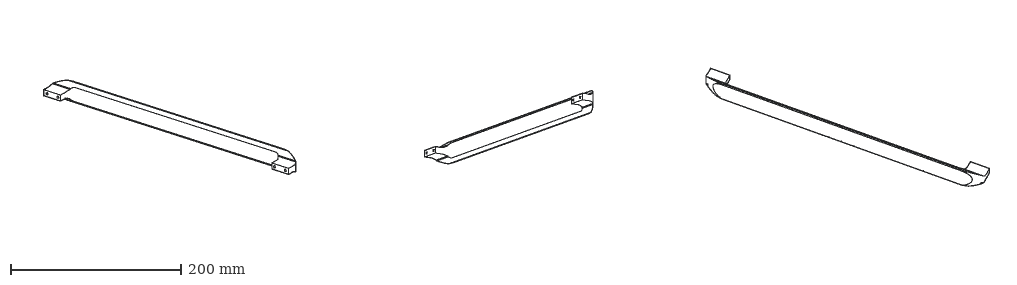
import cadquery as cq

LENGTH = 362.0
DEPTH = 24.3
HEIGHT = 26.0

FOOT_THICKNESS = 8.0
FLARE_START_Y = 9.5
FLARE_CREASES = [(12.5, 4.7), (15.5, 6.0), (16.0, 7.2), (22.5, HEIGHT / 2)]
BACK_HOLLOW_DEPTH = 3.3

FOOT_LENGTH = 25.0
GRIP_FRONT_Y = 18.0
INNER_RADIUS = 8.5
END_FACE_DEPTH = 15.0
SHOULDER_LENGTH = 25.5
SHOULDER_MIDDLE = (11.0, 20.3)
END_EDGE_RADIUS = 3.5

SCREW_DIAMETER = 2.5
SCREW_DEPTH = 11.0
SCREW_SPACING = 16.0
SCREW_CENTRE = 13.0

HALF_LENGTH = LENGTH / 2
HALF_HEIGHT = HEIGHT / 2


def make_flared_bar():
    """Full-length bar: a thin web that flares out to a rim with a hollow back."""
    flare = [
        (0, FOOT_THICKNESS / 2),
        (FLARE_START_Y, FOOT_THICKNESS / 2),
        *FLARE_CREASES,
    ]
    mirrored_flare = [(y, -z) for y, z in reversed(flare)]
    return (
        cq.Workplane("YZ")
        .polyline(flare)
        .lineTo(DEPTH, HALF_HEIGHT)
        .threePointArc((DEPTH - BACK_HOLLOW_DEPTH, 0), (DEPTH, -HALF_HEIGHT))
        .polyline(mirrored_flare, includeCurrent=True)
        .close()
        .extrude(HALF_LENGTH, both=True)
    )


def make_plan_block():
    """Bracket-shaped outline with arched shoulders, as tall as the bar."""
    shoulder_x = HALF_LENGTH - SHOULDER_LENGTH
    middle_x = HALF_LENGTH - SHOULDER_MIDDLE[0]
    foot_x = HALF_LENGTH - FOOT_LENGTH
    block = (
        cq.Workplane("XY")
        .moveTo(-HALF_LENGTH, 0)
        .lineTo(-HALF_LENGTH, END_FACE_DEPTH)
        .threePointArc((-middle_x, SHOULDER_MIDDLE[1]), (-shoulder_x, DEPTH))
        .lineTo(shoulder_x, DEPTH)
        .threePointArc((middle_x, SHOULDER_MIDDLE[1]), (HALF_LENGTH, END_FACE_DEPTH))
        .lineTo(HALF_LENGTH, 0)
        .lineTo(foot_x, 0)
        .lineTo(foot_x, GRIP_FRONT_Y)
        .lineTo(-foot_x, GRIP_FRONT_Y)
        .lineTo(-foot_x, 0)
        .close()
        .extrude(HALF_HEIGHT, both=True)
    )
    inner_corners = cq.selectors.BoxSelector(
        (-foot_x - 0.5, GRIP_FRONT_Y - 0.5, -HEIGHT),
        (foot_x + 0.5, GRIP_FRONT_Y + 0.5, HEIGHT),
    )
    end_edges = cq.selectors.BoxSelector(
        (-LENGTH, END_FACE_DEPTH - 0.5, -HEIGHT),
        (LENGTH, END_FACE_DEPTH + 0.5, HEIGHT),
    )
    block = block.edges("|Z").edges(inner_corners).fillet(INNER_RADIUS)
    return block.edges("|Z").edges(end_edges).fillet(END_EDGE_RADIUS)


def make_screw_holes(side):
    """Two blind screw holes in the foot at the given end (-1 or 1)."""
    centre_x = side * (HALF_LENGTH - SCREW_CENTRE)
    return (
        cq.Workplane("XZ")
        .center(centre_x, 0)
        .rarray(SCREW_SPACING, 3.5, 2, 1)
        .circle(SCREW_DIAMETER / 2)
        .extrude(-SCREW_DEPTH)
    )


result = make_flared_bar().intersect(make_plan_block())
for end in (-1, 1):
    result = result.cut(make_screw_holes(end))